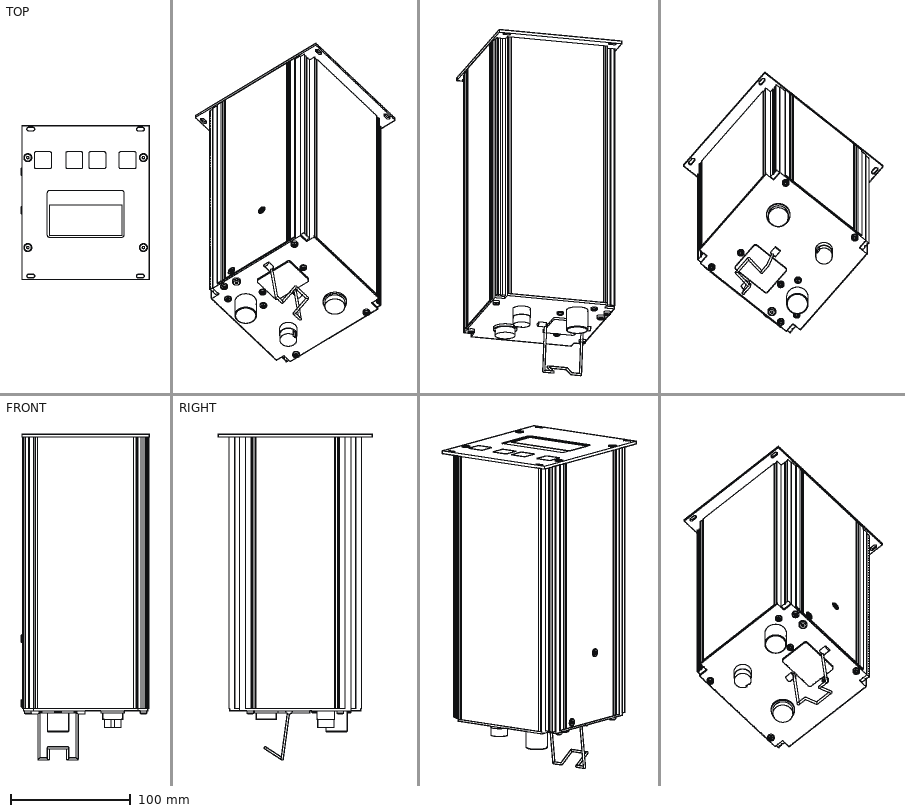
import cadquery as cq

OVERALL_HEIGHT = 271.83

PANEL_WIDTH = 106.3
PANEL_LENGTH = 128.5
PANEL_THICKNESS = 2.5
SLOT_X = 45.72
SLOT_Y = 61.25
SLOT_LENGTH = 6.4
SLOT_WIDTH = 2.8
BUTTON_SIZE = 14.0
BUTTON_Y = 35.4
BUTTON_XS = (-35.6, -9.4, 9.8, 35.0)
BUTTON_CORNER = 1.0
BUTTON_RECESS = 0.2
WINDOW_WIDTH = 64.0
WINDOW_LENGTH = 39.2
WINDOW_Y = -9.4
WINDOW_CORNER = 2.0
WINDOW_RECESS = 0.8
DISPLAY_WIDTH = 60.4
DISPLAY_LENGTH = 25.4
DISPLAY_Y = -14.8
DISPLAY_RECESS = 0.3

SCREW_X = 48.2
SCREW_Y = 37.5
COUNTERSINK_DIAMETER = 6.7
COUNTERSINK_GAP = 0.5
COUNTERSINK_DEPTH = 0.4
SOCKET_DIAMETER = 2.0
SOCKET_DEPTH = 1.2

HEAD_DIAMETER = 5.6
HEAD_HEIGHT = 2.6
FLANGE_HEAD_HEIGHT = 1.8
HEAD_CHAMFER = 0.8

CASE_LENGTH = 226.5
CASE_HALF_X = 52.8
CASE_HALF_Y = 55.3
NOTCH_WALL_X = 43.5
NOTCH_FLOOR_Y = 50.1
RIM_X = 51.9
RIM_Y = 41.4
STEP_X = 51.3
STEP_Y = 46.7
NOTCH_LIP_X = 50.3
NOTCH_LIP_Y = 50.6
CASE_BOTTOM = -PANEL_THICKNESS - CASE_LENGTH

GROOVE_DEPTH = 0.6
END_GROOVE_OUTER_X = 42.9
END_GROOVE_FLOOR_X = 41.9
END_GROOVE_INNER_X = 40.1
SIDE_GROOVE_Y = 33.2
SIDE_GROOVE_WIDTH = 0.9
SIDE_VEE_Y = 36.2
SIDE_VEE_WIDTH = 1.8
FLOOR_GROOVES_X = ((-47.4, 0.8), (47.2, 1.7), (49.9, 0.5))

BASE_THICKNESS = 1.8
BASE_WIDTH = 2 * RIM_X
BASE_LENGTH = 109.6
BASE_NOTCH_X = 43.5
BASE_NOTCH_Y = 46.7
BASE_BOTTOM = CASE_BOTTOM - BASE_THICKNESS

SIDE_SCREWS = ((-6.5, -170.6), (25.8, -224.6))
SIDE_HEAD_REACH = 0.6
SIDE_HEAD_DIAMETER = 6.7
SIDE_HEAD_HEIGHT = 1.4
SIDE_SOCKET_DIAMETER = 2.8
SIDE_SOCKET_DEPTH = 1.0

LEFT_X = -23.0
RIGHT_X = 22.6
FLANGE_THICKNESS = 1.8
KNOB_Y = 34.5
KNOB_DIAMETER = 18.0
KNOB_LENGTH = 17.6
KNOB_CHAMFER = 0.6
KNOB_SCREW_OFFSET_X = 12.0
KNOB_SCREW_OFFSET_Y = 9.3
INLET_WIDTH = 27.4
INLET_LENGTH = 35.0
INLET_Y = -5.2
INLET_CORNER = 2.0
INLET_SCREW_OFFSET = 21.7
GROUND_SCREW_X = -46.0
GROUND_SCREW_Y = 26.0
GROUND_SCREW_DIAMETER = 6.7
COLLAR_Y = -24.2
COLLAR_FLANGE_DIAMETER = 19.6
COLLAR_DIAMETER = 16.8
COLLAR_LENGTH = 7.0
PLUG_Y = 25.4
PLUG_DIAMETER = 14.6
PLUG_TIP_DIAMETER = 14.0
PLUG_SHOULDER = 7.2
PLUG_LENGTH = 14.0
PLUG_SLOT_WIDTH = 3.0
PLUG_SLOT_DEPTH = 1.0

WIRE_DIAMETER = 2.0
BAIL_HALF_WIDTH = 15.9
BAIL_TONGUE_HALF_WIDTH = 8.0
BAIL_TOP_Y = INLET_Y
BAIL_BEND_Y = -10.9
BAIL_TIP_Y = -25.0
BAIL_TIP_Z = -261.7
HINGE_LENGTH = 6.6
HINGE_DIAMETER = 5.6


def rod(x, y, top, length, diameter):
    """Vertical cylinder hanging down from the level `top`."""
    return cq.Workplane("XY", origin=(x, y, top)).circle(diameter / 2).extrude(-length)


def block(x, y, top, size_x, size_y, depth):
    """Rectangular block centred on (x, y) and hanging down from the level `top`."""
    return cq.Workplane("XY", origin=(x, y, top)).rect(size_x, size_y).extrude(-depth)


def corner_points(x, y):
    return [(x, y), (-x, y), (x, -y), (-x, -y)]


def make_panel():
    panel = block(0, 0, 0, PANEL_WIDTH, PANEL_LENGTH, PANEL_THICKNESS)
    slots = cq.Workplane("XY").pushPoints(corner_points(SLOT_X, SLOT_Y))
    panel = panel.cut(slots.slot2D(SLOT_LENGTH, SLOT_WIDTH).extrude(-PANEL_THICKNESS))
    for x in BUTTON_XS:
        button = block(x, BUTTON_Y, 0, BUTTON_SIZE, BUTTON_SIZE, BUTTON_RECESS)
        panel = panel.cut(button.edges("|Z").fillet(BUTTON_CORNER))
    window = block(0, WINDOW_Y, 0, WINDOW_WIDTH, WINDOW_LENGTH, WINDOW_RECESS)
    panel = panel.cut(window.edges("|Z").fillet(WINDOW_CORNER))
    panel = panel.cut(
        block(0, DISPLAY_Y, -WINDOW_RECESS, DISPLAY_WIDTH, DISPLAY_LENGTH, DISPLAY_RECESS)
    )
    for x, y in corner_points(SCREW_X, SCREW_Y):
        head_diameter = COUNTERSINK_DIAMETER - 2 * COUNTERSINK_GAP
        gap = rod(x, y, 0, COUNTERSINK_DEPTH, COUNTERSINK_DIAMETER)
        gap = gap.cut(rod(x, y, 0, COUNTERSINK_DEPTH, head_diameter))
        panel = panel.cut(gap).cut(rod(x, y, 0, SOCKET_DEPTH, SOCKET_DIAMETER))
    return panel


def prism(points, side_x, side_y):
    """Case-length prism with its outline mirrored into the quadrant (side_x, side_y)."""
    outline = [(side_x * x, side_y * y) for x, y in points]
    return cq.Workplane("XY", origin=(0, 0, -PANEL_THICKNESS)).polyline(outline).close().extrude(-CASE_LENGTH)


def make_case():
    top = -PANEL_THICKNESS
    case = block(0, 0, top, 2 * CASE_HALF_X, 2 * CASE_HALF_Y, CASE_LENGTH)
    corner_notch = [
        (NOTCH_WALL_X, CASE_HALF_Y),
        (NOTCH_WALL_X, NOTCH_FLOOR_Y),
        (NOTCH_LIP_X, NOTCH_FLOOR_Y),
        (STEP_X, NOTCH_LIP_Y),
        (STEP_X, STEP_Y),
        (RIM_X, STEP_Y),
        (RIM_X, RIM_Y),
        (CASE_HALF_X, RIM_Y),
        (CASE_HALF_X, CASE_HALF_Y),
    ]
    end_groove = [
        (END_GROOVE_OUTER_X, CASE_HALF_Y),
        (END_GROOVE_FLOOR_X, CASE_HALF_Y - GROOVE_DEPTH),
        (END_GROOVE_INNER_X, CASE_HALF_Y - GROOVE_DEPTH),
        (END_GROOVE_INNER_X, CASE_HALF_Y),
    ]
    side_vee = [
        (CASE_HALF_X, SIDE_VEE_Y - SIDE_VEE_WIDTH / 2),
        (CASE_HALF_X - GROOVE_DEPTH, SIDE_VEE_Y),
        (CASE_HALF_X, SIDE_VEE_Y + SIDE_VEE_WIDTH / 2),
    ]
    for side_x, side_y in corner_points(1, 1):
        for outline in (corner_notch, end_groove, side_vee):
            case = case.cut(prism(outline, side_x, side_y))
        side_groove = block(
            side_x * CASE_HALF_X, side_y * SIDE_GROOVE_Y, top,
            2 * GROOVE_DEPTH, SIDE_GROOVE_WIDTH, CASE_LENGTH,
        )
        case = case.cut(side_groove)
    for floor_y in (-NOTCH_FLOOR_Y, NOTCH_FLOOR_Y):
        for x, width in FLOOR_GROOVES_X:
            case = case.cut(block(x, floor_y, top, width, 2 * GROOVE_DEPTH, CASE_LENGTH))
    return case


def make_base():
    base = block(0, 0, CASE_BOTTOM, BASE_WIDTH, BASE_LENGTH, BASE_THICKNESS)
    notch_width = BASE_WIDTH - 2 * BASE_NOTCH_X
    notch_length = BASE_LENGTH - 2 * BASE_NOTCH_Y
    for x, y in corner_points(BASE_WIDTH / 2, BASE_LENGTH / 2):
        base = base.cut(block(x, y, CASE_BOTTOM, notch_width, notch_length, BASE_THICKNESS))
    return base


def button_head(x, y, diameter, height):
    head = rod(x, y, BASE_BOTTOM, height, diameter)
    head = head.faces("<Z").edges().chamfer(HEAD_CHAMFER)
    socket_top = BASE_BOTTOM - height + SOCKET_DEPTH
    return head.cut(rod(x, y, socket_top, SOCKET_DEPTH, SOCKET_DIAMETER))


def make_base_screws():
    screws = button_head(GROUND_SCREW_X, GROUND_SCREW_Y, GROUND_SCREW_DIAMETER, HEAD_HEIGHT)
    for x, y in corner_points(SCREW_X, SCREW_Y):
        screws = screws.union(button_head(x, y, HEAD_DIAMETER, HEAD_HEIGHT))
    return screws


def make_flange_screws():
    """Low screws in line with the inlet and on one diagonal of the knob."""
    screws = cq.Workplane("XY")
    for side in (-1, 1):
        inlet_place = (LEFT_X, INLET_Y + side * INLET_SCREW_OFFSET)
        knob_place = (LEFT_X - side * KNOB_SCREW_OFFSET_X, KNOB_Y + side * KNOB_SCREW_OFFSET_Y)
        for x, y in (inlet_place, knob_place):
            screws = screws.union(button_head(x, y, HEAD_DIAMETER, FLANGE_HEAD_HEIGHT))
    return screws


def make_side_screws():
    outer_x = -PANEL_WIDTH / 2 - SIDE_HEAD_REACH
    places = cq.Workplane("YZ", origin=(outer_x, 0, 0)).pushPoints(SIDE_SCREWS)
    heads = places.circle(SIDE_HEAD_DIAMETER / 2).extrude(SIDE_HEAD_HEIGHT)
    heads = heads.faces("<X").edges().chamfer(SIDE_HEAD_REACH)
    sockets = places.circle(SIDE_SOCKET_DIAMETER / 2).extrude(SIDE_SOCKET_DEPTH)
    return heads.cut(sockets)


def make_knob():
    knob = rod(LEFT_X, KNOB_Y, BASE_BOTTOM, KNOB_LENGTH, KNOB_DIAMETER)
    return knob.faces("<Z").edges().chamfer(KNOB_CHAMFER)


def make_inlet():
    inlet = block(LEFT_X, INLET_Y, BASE_BOTTOM, INLET_WIDTH, INLET_LENGTH, FLANGE_THICKNESS)
    return inlet.edges("|Z").fillet(INLET_CORNER)


def make_collar():
    flange = rod(RIGHT_X, COLLAR_Y, BASE_BOTTOM, FLANGE_THICKNESS, COLLAR_FLANGE_DIAMETER)
    return flange.union(rod(RIGHT_X, COLLAR_Y, BASE_BOTTOM, COLLAR_LENGTH, COLLAR_DIAMETER))


def make_plug():
    plug = rod(RIGHT_X, PLUG_Y, BASE_BOTTOM, PLUG_SHOULDER, PLUG_DIAMETER)
    plug = plug.union(rod(RIGHT_X, PLUG_Y, BASE_BOTTOM, PLUG_LENGTH, PLUG_TIP_DIAMETER))
    slot_y = PLUG_Y - PLUG_TIP_DIAMETER / 2
    slot_top = BASE_BOTTOM - PLUG_SHOULDER
    slot_length = PLUG_LENGTH - PLUG_SHOULDER
    return plug.cut(block(RIGHT_X, slot_y, slot_top, PLUG_SLOT_WIDTH, 2 * PLUG_SLOT_DEPTH, slot_length))


def make_bail():
    bend_z = -OVERALL_HEIGHT + WIRE_DIAMETER / 2
    half_path = [
        (-BAIL_HALF_WIDTH, BAIL_TOP_Y, CASE_BOTTOM),
        (-BAIL_HALF_WIDTH, BAIL_BEND_Y, bend_z),
        (-BAIL_TONGUE_HALF_WIDTH, BAIL_BEND_Y, bend_z),
        (-BAIL_TONGUE_HALF_WIDTH, BAIL_TIP_Y, BAIL_TIP_Z),
    ]
    path = half_path + [(-x, y, z) for x, y, z in reversed(half_path)]
    points = [cq.Vector(LEFT_X + x, y, z) for x, y, z in path]
    bail = cq.Workplane("XY")
    for start, end in zip(points, points[1:]):
        run = end - start
        piece = cq.Solid.makeCylinder(WIRE_DIAMETER / 2, run.Length, start, run)
        bail = bail.union(cq.Workplane(piece))
    for point in points[1:-1]:
        bail = bail.union(cq.Workplane("XY", origin=point.toTuple()).sphere(WIRE_DIAMETER / 2))
    for side in (-1, 1):
        hinge = cq.Workplane("YZ", origin=(LEFT_X + side * BAIL_HALF_WIDTH, BAIL_TOP_Y, BASE_BOTTOM))
        bail = bail.union(hinge.circle(HINGE_DIAMETER / 2).extrude(side * HINGE_LENGTH))
    return bail


result = (
    make_panel()
    .union(make_case())
    .union(make_base())
    .union(make_base_screws())
    .union(make_flange_screws())
    .union(make_side_screws())
    .union(make_knob())
    .union(make_inlet())
    .union(make_collar())
    .union(make_plug())
    .union(make_bail())
)